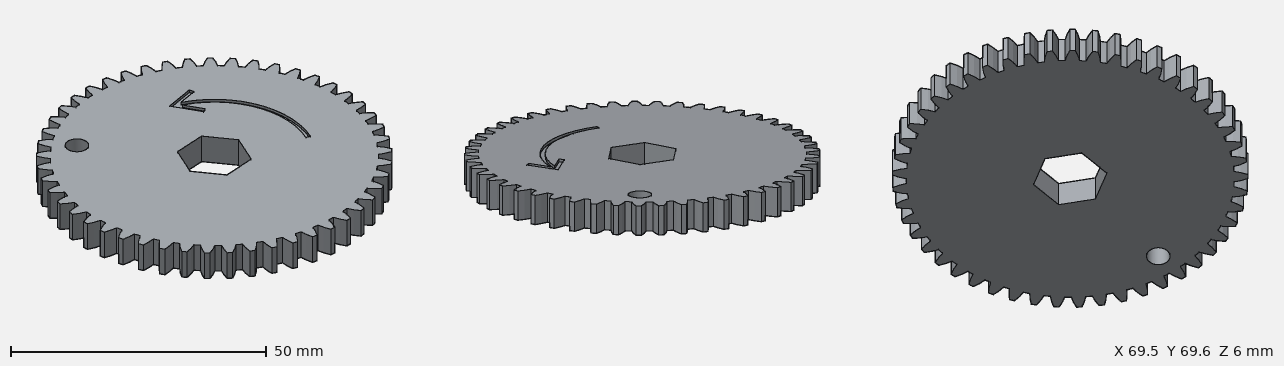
import math

import cadquery as cq

TOOTH_COUNT = 49
THICKNESS = 6.0
TIP_RADIUS = 34.78
MID_RADIUS = 33.4
ROOT_RADIUS = 32.07

TIP_WIDTH = 1.06
MID_WIDTH = 2.15
ROOT_WIDTH = 2.82

HEX_ACROSS_FLATS = 12.7

PIN_HOLE_DIAMETER = 4.6
PIN_HOLE_CENTER = (-12.45, -24.07)

ENGRAVING_DEPTH = 0.6
ARROW_RADIUS = 19.5
ARROW_LINE_WIDTH = 1.0
ARROW_TIP_Y = -2.3
BARB_LENGTH = 6.95
BARB_WIDTH = 1.1
BARB_ANGLE = math.radians(36.5)
NOTCH_HEIGHT = BARB_WIDTH / math.sin(BARB_ANGLE)


def polar(radius, angle):
    return (radius * math.cos(angle), radius * math.sin(angle))


def tooth_points(center_angle):
    """Flank points of one tooth, counterclockwise from root to tip to root."""
    stations = [
        (ROOT_RADIUS, ROOT_WIDTH),
        (MID_RADIUS, MID_WIDTH),
        (TIP_RADIUS, TIP_WIDTH),
    ]
    half_angles = [(radius, math.asin(width / 2 / radius)) for radius, width in stations]
    rising = [polar(radius, center_angle - half) for radius, half in half_angles]
    falling = [polar(radius, center_angle + half) for radius, half in reversed(half_angles)]
    return rising + falling


def gear_blank():
    """Toothed disc with one tooth centered on the +X axis."""
    outline = []
    for tooth in range(TOOTH_COUNT):
        outline += tooth_points(2 * math.pi * tooth / TOOTH_COUNT)
    return cq.Workplane("XY").polyline(outline).close().extrude(THICKNESS)


def hex_bore():
    across_corners = HEX_ACROSS_FLATS / math.cos(math.pi / 6)
    return cq.Workplane("XY").polygon(6, across_corners).extrude(THICKNESS)


def pin_hole():
    return cq.Workplane("XY").center(*PIN_HOLE_CENTER).circle(PIN_HOLE_DIAMETER / 2).extrude(THICKNESS)


def arrow_shaft(floor):
    """Quarter ring from the +Y axis to the -X axis, run straight on into the head."""
    inner = ARROW_RADIUS - ARROW_LINE_WIDTH / 2
    outer = ARROW_RADIUS + ARROW_LINE_WIDTH / 2
    halfway = math.radians(135)
    end_y = ARROW_TIP_Y + NOTCH_HEIGHT
    return (
        floor.moveTo(0, inner)
        .lineTo(0, outer)
        .threePointArc(polar(outer, halfway), (-outer, 0))
        .lineTo(-outer, end_y)
        .lineTo(-inner, end_y)
        .lineTo(-inner, 0)
        .threePointArc(polar(inner, halfway), (0, inner))
        .close()
        .extrude(ENGRAVING_DEPTH)
    )


def arrow_head(floor):
    """V of two equal barbs whose tip points toward -Y."""
    reach = BARB_LENGTH * math.sin(BARB_ANGLE)
    rise = BARB_LENGTH * math.cos(BARB_ANGLE)
    end_inset = BARB_WIDTH * math.cos(BARB_ANGLE)
    end_lift = BARB_WIDTH * math.sin(BARB_ANGLE)
    outline = [
        (0, 0),
        (reach, rise),
        (reach - end_inset, rise + end_lift),
        (0, NOTCH_HEIGHT),
        (end_inset - reach, rise + end_lift),
        (-reach, rise),
    ]
    return floor.center(-ARROW_RADIUS, ARROW_TIP_Y).polyline(outline).close().extrude(ENGRAVING_DEPTH)


def arrow():
    floor = cq.Workplane("XY").workplane(offset=THICKNESS - ENGRAVING_DEPTH)
    return arrow_shaft(floor).union(arrow_head(floor))


result = gear_blank().cut(hex_bore()).cut(pin_hole()).cut(arrow())